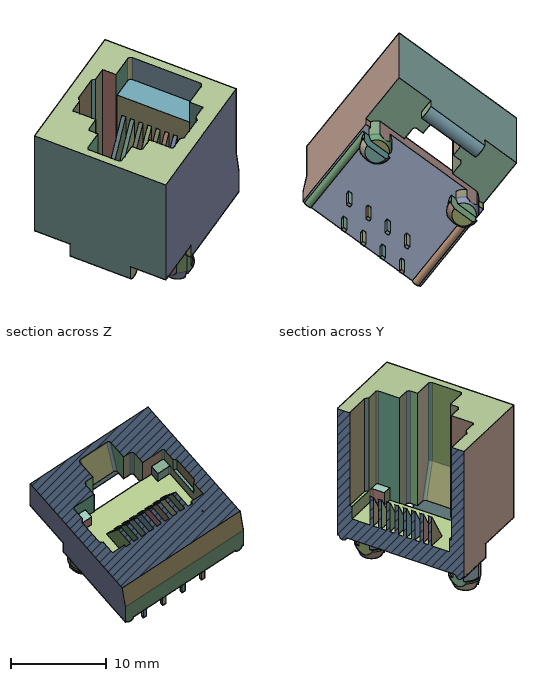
import cadquery as cq

WIDTH = 15.5
DEPTH = 16.5
HEIGHT = 19.56
REAR_STEP = 0.63
REAR_SLOPE_LOW = 6.7
REAR_SLOPE_HIGH = 10.13
BASE_Z = 3.56
NOTCH_DEPTH = 5.71
NOTCH_Z = 5.34

FOOT_Z = 3.13
FRONT_FOOT_WIDTH = 7.14
FRONT_FOOT_DEPTH = 1.62
RAIL_RADIUS = BASE_Z - FOOT_Z
RAIL_X = 7.1

PEG_X = 5.73
PEG_Y = 6.5
PEG_RADIUS = 1.6
PEG_FLAT_DISTANCE = 1.47
PEG_FLAT_Y = PEG_Y - PEG_FLAT_DISTANCE
PEG_SLOT = 0.63
PEG_TAPER_Z = 1.2
FRONT_TIP_RADIUS = 1.35
BARB_RADIUS = 1.76
BARB_TOP_Z = 1.43
REAR_TIP_RADIUS = 1.21

PLUG_WIDTH = 11.83
PLUG_FRONT_Y = 5.09
PLUG_REAR_Y = 11.87
PLUG_CORNER = 0.18
FLOOR_Z = 6.25
LEDGE_Z = 7.82
LEDGE_REAR_Y = 6.18
BAY_WIDTH = 8.68
BAY_REAR_Y = 14.87
BAY_CORNER = 0.35
SHELF_Z = 16.27
SHELF_FRONT_Y = 12.13
RELIEF_WIDTH = 12.48
RELIEF_FRONT_Y = 6.7
RELIEF_REAR_Y = 10.29
RELIEF_CHAMFER = 0.31

LATCH_WIDTH = 6.34
LATCH_FRONT_Y = 3.35
LATCH_CORNER = 0.33
TONGUE_WIDTH = 4.0
TONGUE_FRONT_Y = 0.85
TONGUE_CORNER = 0.3
RAMP_REAR_Y = 2.01
RAMP_TOP_Z = 9.68

CONTACT_COUNT = 8
CONTACT_PITCH = 1.02
CONTACT_WIDTH = 0.47
CONTACT_TOP_Z = 13.5
CONTACT_FRONT_Y = 8.02
PIN_PITCH = 1.27
PIN_WIDTH = 0.45
PIN_THICKNESS = 0.35
PIN_ROWS_Y = (12.85, 15.37)


def box(width, y_front, y_rear, z_low, z_high, x_center=0):
    """Block centred on x_center between the given Y and Z levels."""
    return cq.Workplane("XY").box(
        width, y_rear - y_front, z_high - z_low, centered=(True, False, False)
    ).translate((x_center, y_front, z_low))


def side_profile(x_start):
    """Workplane whose local axes are Y and Z, extruding toward +X."""
    return cq.Workplane("YZ", origin=(x_start, 0, 0))


def row(count, pitch):
    """Evenly spaced positions centred on zero."""
    return [(i - (count - 1) / 2) * pitch for i in range(count)]


def make_housing():
    return (
        side_profile(-WIDTH / 2)
        .moveTo(0, HEIGHT)
        .lineTo(0, NOTCH_Z)
        .lineTo(NOTCH_DEPTH, NOTCH_Z)
        .lineTo(NOTCH_DEPTH, BASE_Z)
        .lineTo(DEPTH, BASE_Z)
        .lineTo(DEPTH, REAR_SLOPE_LOW)
        .lineTo(DEPTH - REAR_STEP, REAR_SLOPE_HIGH)
        .lineTo(DEPTH - REAR_STEP, HEIGHT)
        .close()
        .extrude(WIDTH)
    )


def make_center_block():
    """Thicker housing base between the pegs, flush with their front flats."""
    return box(2 * PEG_X, PEG_FLAT_Y, NOTCH_DEPTH, BASE_Z, NOTCH_Z)


def make_front_foot():
    return (
        side_profile(-FRONT_FOOT_WIDTH / 2)
        .moveTo(0, NOTCH_Z)
        .lineTo(0, BASE_Z)
        .threePointArc((FRONT_FOOT_DEPTH / 2, FOOT_Z), (FRONT_FOOT_DEPTH, BASE_Z))
        .lineTo(FRONT_FOOT_DEPTH, NOTCH_Z)
        .close()
        .extrude(FRONT_FOOT_WIDTH)
    )


def make_rail(x):
    """Round-bottomed rail from the peg slot to the rear face."""
    rail = cq.Workplane("XZ", origin=(x, PEG_Y, BASE_Z)).circle(RAIL_RADIUS)
    return rail.extrude(PEG_Y - DEPTH)


def revolved(profile, x):
    """Turn a (radius, Z) profile about the peg axis at the given X."""
    solid = cq.Workplane("XZ").polyline(profile).close().revolve(360, (0, 0, 0), (0, 1, 0))
    return solid.translate((x, PEG_Y, 0))


def make_peg(x):
    """Split peg: plain tapered front half, barbed rear half."""
    plain = revolved(
        [
            (0, 0),
            (FRONT_TIP_RADIUS, 0),
            (PEG_RADIUS, PEG_TAPER_Z),
            (PEG_RADIUS, NOTCH_Z),
            (0, NOTCH_Z),
        ],
        x,
    )
    barbed = revolved(
        [
            (0, 0),
            (REAR_TIP_RADIUS, 0),
            (BARB_RADIUS, PEG_TAPER_Z),
            (BARB_RADIUS, BARB_TOP_Z),
            (PEG_RADIUS, BARB_TOP_Z),
            (PEG_RADIUS, NOTCH_Z),
            (0, NOTCH_Z),
        ],
        x,
    )
    front_span = box(2 * BARB_RADIUS, PEG_FLAT_Y, PEG_Y - PEG_SLOT, 0, NOTCH_Z, x)
    rear_span = box(2 * BARB_RADIUS, PEG_Y, PEG_Y + PEG_FLAT_DISTANCE, 0, NOTCH_Z, x)
    return plain.intersect(front_span).union(barbed.intersect(rear_span))


def make_cavity():
    """Plug opening with its rear bay, side reliefs and corner ledges."""
    upper = box(PLUG_WIDTH, PLUG_FRONT_Y, PLUG_REAR_Y, LEDGE_Z, HEIGHT)
    upper = upper.edges("|Z and <Y").fillet(PLUG_CORNER)
    lower = box(PLUG_WIDTH, LEDGE_REAR_Y, PLUG_REAR_Y, FLOOR_Z, HEIGHT)
    lower = lower.edges("|Z and <Y").fillet(PLUG_CORNER)
    bay = box(BAY_WIDTH, PLUG_FRONT_Y, SHELF_FRONT_Y, FLOOR_Z, HEIGHT)
    shelf = box(BAY_WIDTH, LEDGE_REAR_Y, BAY_REAR_Y, SHELF_Z, HEIGHT)
    shelf = shelf.edges("|Z and >Y").fillet(BAY_CORNER)
    reliefs = box(RELIEF_WIDTH, RELIEF_FRONT_Y, RELIEF_REAR_Y, LEDGE_Z, HEIGHT)
    reliefs = reliefs.edges("|Z").chamfer(RELIEF_CHAMFER)
    return upper.union(lower).union(bay).union(shelf).union(reliefs)


def make_latch_slot():
    """Stepped slot in front of the plug opening, with a ramp down into the underside notch."""
    latch = box(LATCH_WIDTH, LATCH_FRONT_Y, PEG_FLAT_Y, NOTCH_Z, HEIGHT)
    latch = latch.edges("|Z and <Y").fillet(LATCH_CORNER)
    tongue = (
        side_profile(-TONGUE_WIDTH / 2)
        .moveTo(PEG_FLAT_Y, NOTCH_Z)
        .lineTo(RAMP_REAR_Y, NOTCH_Z)
        .lineTo(TONGUE_FRONT_Y, RAMP_TOP_Z)
        .lineTo(TONGUE_FRONT_Y, HEIGHT)
        .lineTo(PEG_FLAT_Y, HEIGHT)
        .close()
        .extrude(TONGUE_WIDTH)
    )
    front_edges = cq.selectors.BoxSelector(
        (-TONGUE_WIDTH, 0, NOTCH_Z), (TONGUE_WIDTH, RAMP_REAR_Y, HEIGHT)
    )
    tongue = tongue.edges("#X").edges(front_edges).fillet(TONGUE_CORNER)
    above_floor = box(LATCH_WIDTH, PEG_FLAT_Y, PLUG_FRONT_Y, FLOOR_Z, HEIGHT)
    return latch.union(tongue).union(above_floor)


def make_contact(x):
    """Slanted contact between the shelf wall and the cavity floor."""
    return (
        side_profile(x - CONTACT_WIDTH / 2)
        .moveTo(SHELF_FRONT_Y, CONTACT_TOP_Z)
        .lineTo(CONTACT_FRONT_Y, FLOOR_Z)
        .lineTo(SHELF_FRONT_Y, FLOOR_Z)
        .close()
        .extrude(CONTACT_WIDTH)
    )


def make_pin(x, y):
    return box(PIN_WIDTH, y - PIN_THICKNESS / 2, y + PIN_THICKNESS / 2, 0, BASE_Z, x)


result = make_housing().union(make_center_block()).cut(make_cavity()).cut(make_latch_slot())
result = result.union(make_front_foot())
for side in (-1, 1):
    result = result.union(make_rail(side * RAIL_X)).union(make_peg(side * PEG_X))
for contact_x in row(CONTACT_COUNT, CONTACT_PITCH):
    result = result.union(make_contact(contact_x))
for index, pin_x in enumerate(row(CONTACT_COUNT, PIN_PITCH)):
    result = result.union(make_pin(pin_x, PIN_ROWS_Y[index % 2]))